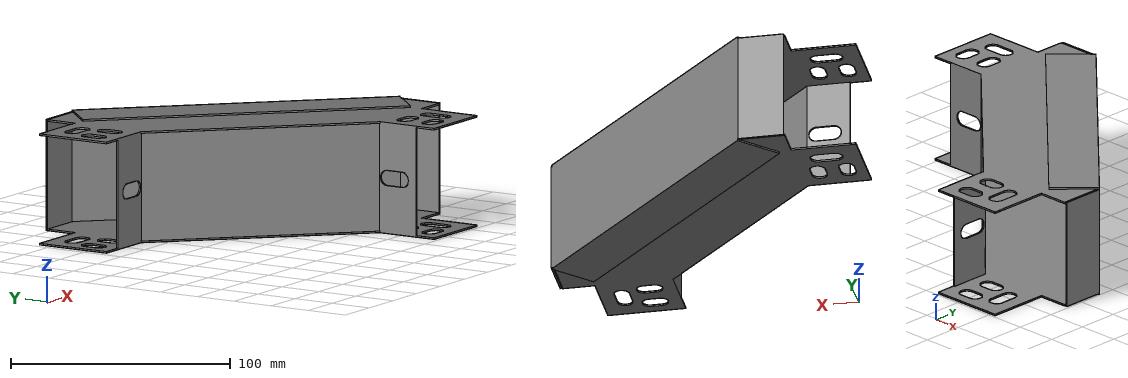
import cadquery as cq
import math

ROOT2 = math.sqrt(2)
MIRROR_NORMAL = (1, -1, 0)

size = 160.2
sheet = 0.8
channel_height = 51.5

inner_side = 108.0
tab_outer_side = 144.1
inner_corner = 29.3
shoulder = 30.1
wall_start = 9.8
wall_recess = 0.2
plate_gap = 0.3

outer_diagonal = 211.7
cover_end = 30.5
flap_length = 152.6
flap_depth = 23.0

slot_width = 7.0
long_slot = 15.0
short_slot = 12.2
long_slot_center = (15.7, 133.7)
short_slot_centers = [(8.6, 120.3), (22.1, 120.3)]
wall_slot_x = 21.5

half_height = channel_height / 2
cover_inside = size - sheet
cover_diagonal = outer_diagonal - sheet * ROOT2
plate_side = cover_inside - plate_gap
plate_diagonal = cover_diagonal - plate_gap * ROOT2
wall_corner = inner_corner + wall_recess
fold_shift = sheet * (ROOT2 - 1)


def symmetric(points):
    """Continue a half outline with its mirror image about X = Y."""
    return points + [(y, x) for x, y in reversed(points)]


def prism(points, bottom, height):
    return cq.Workplane("XY").workplane(offset=bottom).polyline(points).close().extrude(height)


def both_arms(cutter):
    return cutter.union(cutter.mirror(MIRROR_NORMAL))


def plate(bottom):
    """Flat elbow plate with a tab at each end."""
    half_outline = [
        (inner_corner, inner_side),
        (0, inner_side),
        (0, tab_outer_side),
        (shoulder, tab_outer_side),
        (shoulder, plate_side),
        (plate_diagonal - plate_side, plate_side),
    ]
    return prism(symmetric(half_outline), bottom, sheet)


def inner_wall():
    """Upright wall along the inner diagonal, running on into both tabs."""
    near_face = [
        (wall_start, inner_side),
        (wall_corner, inner_side),
    ]
    far_face = [
        (wall_start, inner_side + sheet),
        (wall_corner + fold_shift, inner_side + sheet),
    ]
    outline = symmetric(near_face) + list(reversed(symmetric(far_face)))
    return prism(outline, -half_height, channel_height)


def plate_slots():
    """Slots through the top and bottom tabs."""
    long_cut = (
        cq.Workplane("XY").center(*long_slot_center)
        .slot2D(long_slot, slot_width).extrude(half_height, both=True)
    )
    short_cuts = (
        cq.Workplane("XY").pushPoints(short_slot_centers)
        .slot2D(short_slot, slot_width, 90).extrude(half_height, both=True)
    )
    return both_arms(long_cut.union(short_cuts))


def wall_slots():
    """Horizontal slot through each straight end of the inner wall."""
    cut = (
        cq.Workplane("XZ", origin=(wall_slot_x, inner_side, 0))
        .slot2D(long_slot, slot_width).extrude(sheet, both=True)
    )
    return both_arms(cut)


def make_channel():
    plates = plate(-half_height).union(plate(half_height - sheet)).cut(plate_slots())
    return plates.union(inner_wall().cut(wall_slots()))


def flap(bottom):
    """Strip folded from the diagonal wall over a plate."""
    center = outer_diagonal / 2 - flap_depth / 2 / ROOT2
    return (
        cq.Workplane("XY").box(flap_length, flap_depth, sheet, centered=(True, True, False))
        .rotate((0, 0, 0), (0, 0, 1), -45)
        .translate((center, center, bottom))
    )


def make_cover():
    """Diagonal outer wall with two end flanges and a flap over each plate."""
    outer_face = [
        (cover_end, size),
        (outer_diagonal - size, size),
    ]
    inner_face = [
        (cover_end, cover_inside),
        (cover_diagonal - cover_inside, cover_inside),
    ]
    outline = symmetric(outer_face) + list(reversed(symmetric(inner_face)))
    wall = prism(outline, -half_height, channel_height)
    return wall.union(flap(half_height)).union(flap(-half_height - sheet))


channel = make_channel()
cover = make_cover()
result = cq.Compound.makeCompound([*channel.solids().vals(), *cover.solids().vals()])